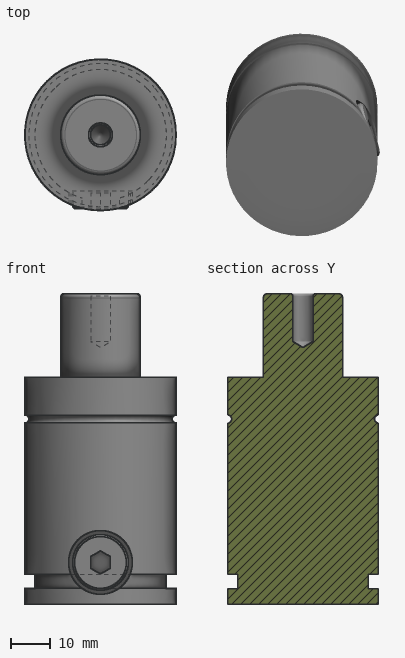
import cadquery as cq
import math

BODY_RADIUS = 19.0
BODY_HEIGHT = 57.0
ROD_RADIUS = 10.0
TOTAL_HEIGHT = 78.0
ROD_EDGE_RADIUS = 1.0

ROUND_GROOVE_RADIUS = 1.0
ROUND_GROOVE_Z = 46.5

FOOT_GROOVE_BOTTOM = 4.0
FOOT_GROOVE_TOP = 7.5
FOOT_GROOVE_FLOOR_RADIUS = 16.5

ROD_HOLE_RADIUS = 2.5
ROD_HOLE_DEPTH = 12.0
ROD_HOLE_MOUTH_RADIUS = 3.0
DRILL_POINT_ANGLE = 118.0

PLUG_Z = 10.5
POCKET_RADIUS = 8.0
POCKET_FLOOR_DISTANCE = 14.0
PLUG_RADIUS = 7.0
PLUG_FACE_DISTANCE = 18.5
PLUG_CHAMFER = 0.5
HEX_ACROSS_FLATS = 5.0
HEX_DEPTH = 4.0


def body_with_rod():
    """Revolved cylinder body, with both grooves, and the rod on top."""
    profile = (
        cq.Workplane("XZ")
        .moveTo(0, 0)
        .lineTo(BODY_RADIUS, 0)
        .lineTo(BODY_RADIUS, FOOT_GROOVE_BOTTOM)
        .lineTo(FOOT_GROOVE_FLOOR_RADIUS, FOOT_GROOVE_BOTTOM)
        .lineTo(FOOT_GROOVE_FLOOR_RADIUS, FOOT_GROOVE_TOP)
        .lineTo(BODY_RADIUS, FOOT_GROOVE_TOP)
        .lineTo(BODY_RADIUS, ROUND_GROOVE_Z - ROUND_GROOVE_RADIUS)
        .threePointArc(
            (BODY_RADIUS - ROUND_GROOVE_RADIUS, ROUND_GROOVE_Z),
            (BODY_RADIUS, ROUND_GROOVE_Z + ROUND_GROOVE_RADIUS),
        )
        .lineTo(BODY_RADIUS, BODY_HEIGHT)
        .lineTo(ROD_RADIUS, BODY_HEIGHT)
        .lineTo(ROD_RADIUS, TOTAL_HEIGHT)
        .lineTo(0, TOTAL_HEIGHT)
        .close()
    )
    body = profile.revolve(360, (0, 0, 0), (0, 1, 0))
    return body.faces(">Z").edges().fillet(ROD_EDGE_RADIUS)


def rod_hole():
    """Blind hole with a 45 degree mouth chamfer and a conical drill point."""
    mouth_depth = ROD_HOLE_MOUTH_RADIUS - ROD_HOLE_RADIUS
    point_length = ROD_HOLE_RADIUS / math.tan(math.radians(DRILL_POINT_ANGLE / 2))
    hole_bottom = TOTAL_HEIGHT - ROD_HOLE_DEPTH
    profile = (
        cq.Workplane("XZ")
        .moveTo(0, TOTAL_HEIGHT)
        .lineTo(ROD_HOLE_MOUTH_RADIUS, TOTAL_HEIGHT)
        .lineTo(ROD_HOLE_RADIUS, TOTAL_HEIGHT - mouth_depth)
        .lineTo(ROD_HOLE_RADIUS, hole_bottom)
        .lineTo(0, hole_bottom - point_length)
        .close()
    )
    return profile.revolve(360, (0, 0, 0), (0, 1, 0))


def plug_plane(distance):
    """Workplane facing -Y, centred on the plug, at a distance from the body axis."""
    return cq.Workplane("XZ", origin=(0, -distance, PLUG_Z))


def plug_pocket():
    """Round pocket that opens through the side of the body."""
    pocket_depth = BODY_RADIUS - POCKET_FLOOR_DISTANCE
    return plug_plane(POCKET_FLOOR_DISTANCE).circle(POCKET_RADIUS).extrude(pocket_depth)


def plug():
    """Chamfered round plug with a hexagon socket, points up and down."""
    plug_length = PLUG_FACE_DISTANCE - POCKET_FLOOR_DISTANCE
    head = plug_plane(POCKET_FLOOR_DISTANCE).circle(PLUG_RADIUS).extrude(plug_length)
    head = head.faces("<Y").edges().chamfer(PLUG_CHAMFER)
    hex_across_corners = HEX_ACROSS_FLATS / math.cos(math.radians(30))
    socket = (
        plug_plane(PLUG_FACE_DISTANCE)
        .transformed(rotate=(0, 0, 90))
        .polygon(6, hex_across_corners)
        .extrude(-HEX_DEPTH)
    )
    return head.cut(socket)


result = body_with_rod().cut(rod_hole()).cut(plug_pocket()).union(plug())